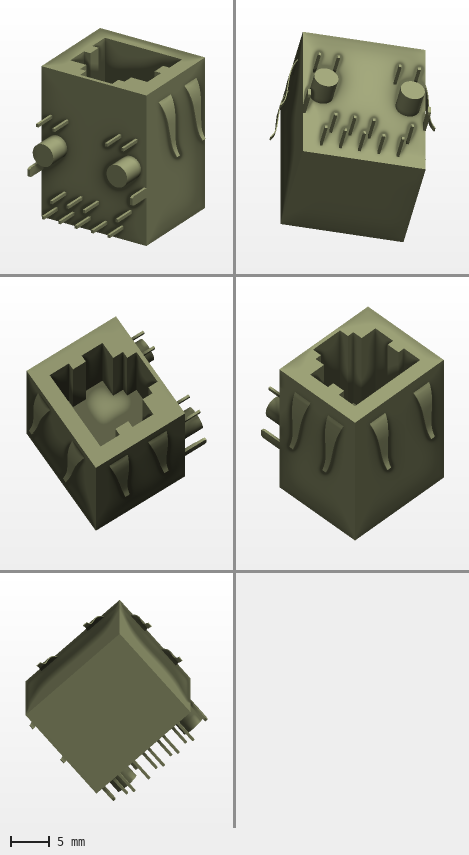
import cadquery as cq


body_width = 16.3
body_depth = 13.88
body_height = 21.6

wall = 2.15
cavity_half_width = body_width / 2 - wall
cavity_depth = 12.95
cavity_front = 1.99
cavity_back = body_depth - wall
latch_half_width = 2.48
latch_front = 0.55
rib_reach = 1.0
rib_front = 6.75
rib_back = 8.75
corner_width = 2.53
corner_rise = 1.53

lead_length = 3.3
lead_pitch = 2.55
lead_width = 0.35
lead_height = 0.45
first_row_z = 1.75
second_row_z = first_row_z + lead_pitch
led_row_z = 14.75
first_row_steps = (-2.25, -1.25, -0.25, 0.75, 1.75)
second_row_steps = (-1.75, -0.75, 0.25, 2.25)
led_outer_x = 6.63
led_inner_x = led_outer_x - lead_pitch
peg_diameter = 3.2
peg_x = 2.25 * lead_pitch
peg_z = 10.69
tab_thickness = 0.37
tab_height = 1.35
tab_z = 7.62
tab_bevel_length = 0.37
tab_bevel_height = 0.17

spring_reach = 2.12
spring_thickness = 0.13
spring_root_z = 19.4
spring_tip_z = 11.7
spring_embed = 0.22
spring_shoulder = (0.82, 17.7)
spring_waist = (1.19, 15.11)
spring_knee = (1.53, 12.75)
spring_root_direction = (1, -1)
spring_tip_direction = (1, -1.3)
spring_root_half = 1.42
spring_middle_half = 0.71
spring_tip_half = 0.32
side_spring_y = (4.32, 10.36)
back_spring_x = 4.02


def block(x_range, y_range, z_range):
    """Rectangular block between the given limits."""
    ranges = (x_range, y_range, z_range)
    size = [high - low for low, high in ranges]
    start = tuple(low for low, _ in ranges)
    return cq.Workplane("XY").box(*size, centered=False).translate(start)


def mirrored(half):
    """The shape together with its mirror image across the X = 0 plane."""
    return half.union(half.mirror("YZ"))


def plug_cavity():
    """Opening for the plug, with its latch groove, guide ribs and filled front corners."""
    floor = body_height - cavity_depth
    depth = (floor, body_height)
    half = cavity_half_width
    cavity = block((-half, half), (cavity_front, cavity_back), depth)
    latch = block((-latch_half_width, latch_half_width), (latch_front, cavity_front), depth)
    rib = block((half - rib_reach, half), (rib_front, rib_back), depth)
    corner = block((half - corner_width, half), (cavity_front, cavity_front + corner_rise), depth)
    return cavity.union(latch).cut(mirrored(rib.union(corner)))


def leads():
    """Rectangular solder leads standing out of the board face."""
    places = [(step * lead_pitch, first_row_z) for step in first_row_steps]
    places += [(step * lead_pitch, second_row_z) for step in second_row_steps]
    places += [(x, led_row_z) for x in (-led_outer_x, -led_inner_x, led_inner_x, led_outer_x)]
    return cq.Workplane("XZ").pushPoints(places).rect(lead_width, lead_height).extrude(lead_length)


def pegs():
    """Round locating pegs on the board face."""
    places = [(-peg_x, peg_z), (peg_x, peg_z)]
    return cq.Workplane("XZ").pushPoints(places).circle(peg_diameter / 2).extrude(lead_length)


def shield_tab():
    """Flat shield tab with a bevelled end, flush with the +X side."""
    low = tab_z - tab_height / 2
    high = tab_z + tab_height / 2
    bevel_start = tab_bevel_length - lead_length
    return (
        cq.Workplane("YZ", origin=(body_width / 2 - tab_thickness, 0, 0))
        .polyline([
            (0, low),
            (bevel_start, low),
            (-lead_length, low + tab_bevel_height),
            (-lead_length, high - tab_bevel_height),
            (bevel_start, high),
            (0, high),
        ])
        .close()
        .extrude(tab_thickness)
    )


def spring():
    """S-curved tapering leaf that bends out of the X = 0 plane toward +X."""
    root = (-spring_embed, spring_root_z + spring_embed)
    tip = (spring_reach, spring_tip_z)
    path = cq.Workplane("XZ").spline(
        [root, spring_shoulder, spring_waist, spring_knee, tip],
        tangents=[spring_root_direction, spring_tip_direction],
    )
    root_normal = (spring_root_direction[0], 0, spring_root_direction[1])
    root_plane = cq.Plane(origin=(root[0], 0, root[1]), xDir=(0, 1, 0), normal=root_normal)
    strip = cq.Workplane(root_plane).rect(2 * spring_root_half, spring_thickness).sweep(path)
    middle_z = (spring_root_z + spring_tip_z) / 2
    bottom_z = spring_tip_z - spring_thickness
    outline = (
        cq.Workplane("YZ", origin=(-2 * spring_embed, 0, 0))
        .moveTo(spring_tip_half, bottom_z)
        .lineTo(spring_tip_half, spring_tip_z)
        .threePointArc((spring_middle_half, middle_z), (spring_root_half, spring_root_z))
        .lineTo(spring_root_half, body_height)
        .lineTo(-spring_root_half, body_height)
        .lineTo(-spring_root_half, spring_root_z)
        .threePointArc((-spring_middle_half, middle_z), (-spring_tip_half, spring_tip_z))
        .lineTo(-spring_tip_half, bottom_z)
        .close()
        .extrude(2 * spring_reach)
    )
    return strip.intersect(outline)


result = block((-body_width / 2, body_width / 2), (0, body_depth), (0, body_height))
result = result.cut(plug_cavity())
result = result.union(leads()).union(pegs()).union(mirrored(shield_tab()))

for y in side_spring_y:
    result = result.union(mirrored(spring().translate((body_width / 2, y, 0))))

back_spring = spring().rotate((0, 0, 0), (0, 0, 1), 90).translate((back_spring_x, body_depth, 0))
result = result.union(mirrored(back_spring))